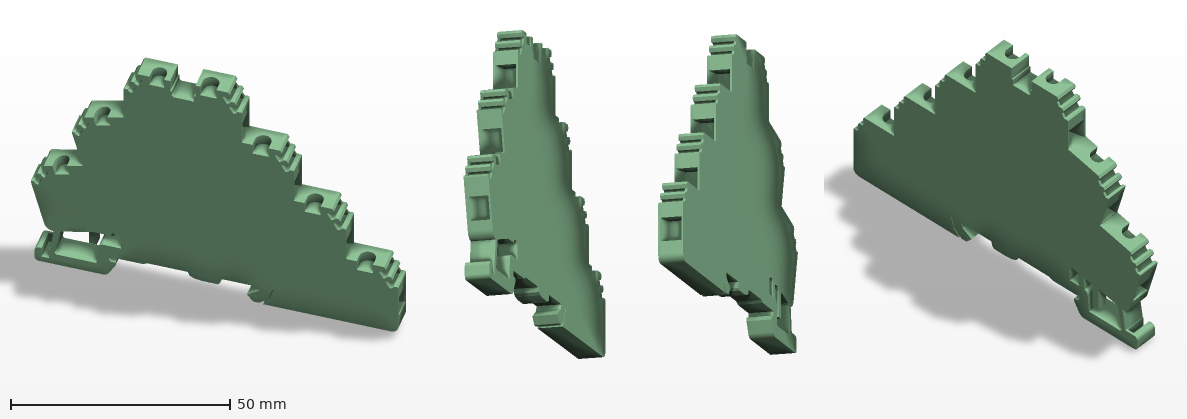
import cadquery as cq
import math


length = 87.8
height = 64.1
thickness = 6.0
back_web = 0.6

right_levels = 4
step_run = 12.5
step_rise = 14.5

tilt = 15.0
slope = math.tan(math.radians(tilt))
left_turret_drop = 0.3
left_step_rise = 17.65
left_terrace_run = 9.3
lowest_land = 0.4

comb_notches = 2
comb_angle = 60.0
comb_pitch = 3.1
comb_dx = comb_pitch * math.cos(math.radians(comb_angle))
comb_dz = comb_pitch * math.sin(math.radians(comb_angle))
comb_run = comb_notches * comb_dx
comb_drop = comb_notches * comb_dz
comb_inset = 0.3
tooth_shape = [(0, 0), (0.4, -0.7), (-0.04, -1.7), (0.57, -2.7)]
slot_length = 2.1
slot_width = 1.1
slot_corner = 0.3
slot_out = -0.22
slot_down = 2.4

right_screw_radius = 1.9
left_screw_radius = 1.8
screw_centre_y = 2.0
right_screw_depth = 2.6
left_screw_depth = 2.5
screw_from_wall = 8.0
screw_from_corner = 5.7

entry_height = 5.5
entry_depth = 3.9
entry_lift = 0.2
lowest_entry_z = 14.05
entry_mouth = (0.4, 5.5)
entry_floor = (1.4, 4.4)

gap_left = 33.3
gap_right = 39.35
gap_floor = 59.1
gap_step_z = 60.8
gap_step = 0.35
gap_corner = 0.4

rail_z = 6.3
base_z = 1.3
base_corner = 1.8
slit_mouth_x = 55.5
foot_z = 4.1
foot_x = 0.9
foot_corner = 1.05
toe_start = (17.2, 0)
toe_bulge = (18.1, 0.3)
arm_bottom = (4.6, foot_z)
arm_top = (5.45, 10.0)
wall_foot_z = 11.95
wall_foot_bulge = (3.95, 10.6)

window_floor = 3.1
window_shelf = 9.1
window_ceiling = 12.4
window_right = 21.6
window_top_corner = 0.9
window_notch_width = 2.55
shelf_corner = 1.3
shelf_edge_x = 16.1
finger_x = (12.8, 14.7)
finger_bottom = 5.45
finger_flare_z = 11.7
tie_width = 1.7
tie_foot_x = 17.0
tie_lean = 0.35
web_thickness = 2.5
web_bury = 0.2
web_sink = 0.35

foot_recess_x = (2.55, 4.4)
foot_recess_floor = 1.5

right_walls = [length - step_run * (right_levels - 1 - i) for i in range(right_levels)]
right_tops = [height - step_rise * i for i in range(right_levels)]
upper_corner_z = right_tops[1]
lower_corner_z = upper_corner_z - left_step_rise
terrace_drop = left_terrace_run * slope
left_wall_drop = left_step_rise - terrace_drop - comb_drop
lower_corner_x = comb_run + left_terrace_run
upper_corner_x = 2 * lower_corner_x - left_wall_drop * slope
left_corners = [(upper_corner_x, upper_corner_z), (lower_corner_x, lower_corner_z)]
left_turret_z = height - left_turret_drop

right_combs = [(x - comb_inset - comb_run, z) for x, z in zip(right_walls, right_tops)]
left_combs = [(upper_corner_x + comb_inset + comb_run, left_turret_z)]
left_combs += [(x - left_terrace_run, z - terrace_drop) for x, z in left_corners]

left_wall_tops = [(x - comb_run, z - comb_drop) for x, z in left_combs[1:]]
left_wall_tops[1] = (left_wall_tops[1][0], left_wall_tops[1][1] - lowest_land)


def comb_points(x, z, side):
    """Tooth outline from the terrace down to the lowest tooth; side is +1 for right, -1 for left."""
    points = []
    for i in range(comb_notches):
        for out, up in tooth_shape:
            points.append((x + side * (i * comb_dx + out), z - i * comb_dz + up))
    points.append((x + side * comb_run, z - comb_drop))
    return points


def extrude_xz(sketch, y_start=0.0, y_end=thickness):
    """Extrude an X-Z outline through the given Y range."""
    return sketch.extrude(-(y_end - y_start)).translate((0, y_start, 0))


def right_outline():
    """Top of the right turret down to the last wall."""
    points = []
    for i, (x, z) in enumerate(right_combs):
        if i > 0:
            points.append((right_walls[i - 1], z))
        points += comb_points(x, z, 1)
        points.append((right_walls[i], z - comb_drop - comb_inset))
    return points


def left_outline():
    """Lowest left wall up to the left turret."""
    points = [left_wall_tops[1]] + comb_points(*left_combs[2], -1)[::-1] + [left_corners[1]]
    points += comb_points(*left_combs[1], -1)[::-1] + [left_corners[0]]
    points.append((upper_corner_x, left_turret_z - comb_drop - comb_inset))
    return points + comb_points(*left_combs[0], -1)[::-1]


def make_plate():
    gap = [
        (gap_left, left_turret_z),
        (gap_left, gap_step_z),
        (gap_left + gap_step, gap_step_z),
        (gap_left + gap_step, gap_floor + gap_corner),
        (gap_left + gap_step + gap_corner, gap_floor),
        (gap_right - gap_step, gap_floor),
        (gap_right - gap_step, gap_step_z),
        (gap_right, gap_step_z),
        (gap_right, height),
    ]
    hook_and_seat = [
        (57.0, 3.25),
        (58.0, rail_z),
        (57.7, rail_z),
        (56.75, 3.3),
        (54.6, 1.5),
        (53.1, 1.5),
        (51.65, 3.25),
        (54.5, 5.1),
        (54.7, rail_z),
        (45.6, rail_z),
        (45.2, 5.0),
        (44.7, 4.5),
        (40.9, 4.5),
        (39.0, 4.7),
        (37.95, 5.3),
        (37.5, rail_z),
        (27.9, rail_z),
        (26.8, 5.8),
        (18.6, 5.8),
        (18.6, 4.9),
        (19.2, 4.4),
        (20.2, 4.4),
        (20.2, 3.5),
        (18.7, 0.9),
    ]
    wall_foot_x = slope * (left_wall_tops[1][1] - wall_foot_z)
    outline = (
        cq.Workplane("XZ")
        .polyline(left_outline() + gap + right_outline())
        .lineTo(length, base_z + base_corner)
        .radiusArc((length - base_corner, base_z), base_corner)
        .lineTo(slit_mouth_x, base_z)
    )
    for point in hook_and_seat:
        outline = outline.lineTo(*point)
    outline = (
        outline.threePointArc(toe_bulge, toe_start)
        .lineTo(foot_x + foot_corner, 0)
        .radiusArc((foot_x, foot_corner), foot_corner)
        .lineTo(foot_x, foot_z - foot_corner)
        .radiusArc((foot_x + foot_corner, foot_z), foot_corner)
        .lineTo(*arm_bottom)
        .lineTo(*arm_top)
        .threePointArc(wall_foot_bulge, (wall_foot_x, wall_foot_z))
        .close()
    )
    return extrude_xz(outline)


def make_latch_window():
    notch_top = window_ceiling + window_top_corner
    notch_left = window_right - window_notch_width
    window = (
        cq.Workplane("XZ")
        .moveTo(6.15, window_floor)
        .lineTo(15.7, window_floor)
        .lineTo(shelf_edge_x, window_shelf - shelf_corner)
        .radiusArc((shelf_edge_x + shelf_corner, window_shelf), shelf_corner)
        .lineTo(window_right, window_shelf)
        .lineTo(window_right, window_ceiling)
        .radiusArc((window_right - window_top_corner, notch_top), -window_top_corner)
        .lineTo(notch_left + window_top_corner, notch_top)
        .radiusArc((notch_left, window_ceiling), -window_top_corner)
        .lineTo(14.85, window_ceiling)
        .lineTo(7.3, 10.45)
        .lineTo(6.85, 10.0)
        .lineTo(5.7, 3.5)
        .close()
    )
    return extrude_xz(window)


def make_window_webs():
    """Finger hanging in the window and a leaning tie across its narrow end, both at the back."""
    finger_left, finger_right = finger_x
    web_top = window_ceiling + web_bury
    web_foot = window_shelf - web_sink
    finger = [
        (12.5, web_top),
        (12.5, finger_flare_z),
        (finger_left, 11.0),
        (finger_left, finger_bottom),
        (finger_right, finger_bottom),
        (finger_right, finger_flare_z),
        (15.3, web_top),
    ]
    tie = [
        (tie_foot_x, web_foot),
        (tie_foot_x + tie_width, web_foot),
        (tie_foot_x + tie_width + tie_lean, web_top),
        (tie_foot_x + tie_lean, web_top),
    ]
    webs = cq.Workplane("XZ").polyline(finger).close().polyline(tie).close()
    return extrude_xz(webs, thickness - web_thickness, thickness)


def make_comb_slots():
    """Blind slots widening the bottom of every comb notch from the front face."""
    slot = cq.Sketch().rect(slot_length, slot_width).vertices().fillet(slot_corner)
    combs = [(x, z, 1) for x, z in right_combs] + [(x, z, -1) for x, z in left_combs]
    turned_slots = []
    for x, z, side in combs:
        for i in range(comb_notches):
            centre_x = x + side * (i * comb_dx + slot_out)
            centre_z = z - i * comb_dz - slot_down
            turn = cq.Location(cq.Vector(centre_x, centre_z), cq.Vector(0, 0, 1), -side * comb_angle)
            turned_slots.append(slot.moved(turn))
    return extrude_xz(cq.Workplane("XZ").placeSketch(*turned_slots), 0, thickness - back_web)


def make_screw_hole(x, z, radius, depth, angle=0.0):
    """U-shaped hole sunk from a terrace at (x, z); angle leans it with the terrace."""
    lean = math.radians(angle)
    plane = cq.Plane(
        origin=(x, 0, z),
        xDir=(math.cos(lean), 0, math.sin(lean)),
        normal=(-math.sin(lean), 0, math.cos(lean)),
    )
    return (
        cq.Workplane(plane)
        .moveTo(-radius, 0)
        .lineTo(-radius, screw_centre_y)
        .threePointArc((0, screw_centre_y + radius), (radius, screw_centre_y))
        .lineTo(radius, 0)
        .close()
        .extrude(-depth)
    )


def make_wire_entry(x, z, inward, angle=0.0):
    """Tapered pocket with its lower mouth edge at (x, z); inward is the X sense of its depth."""
    lean = math.radians(angle)
    plane = cq.Plane(
        origin=(x, 0, z),
        xDir=(0, -inward, 0),
        normal=(-inward * math.cos(lean), 0, -inward * math.sin(lean)),
    )
    mouth_centre = -inward * sum(entry_mouth) / 2
    floor_centre = -inward * sum(entry_floor) / 2
    return (
        cq.Workplane(plane)
        .center(mouth_centre, entry_height / 2)
        .rect(entry_mouth[1] - entry_mouth[0], entry_height)
        .workplane(offset=-entry_depth)
        .center(floor_centre - mouth_centre, 0)
        .rect(entry_floor[1] - entry_floor[0], entry_height)
        .loft()
    )


def make_foot_recess():
    x_start, x_end = foot_recess_x
    recess = (
        cq.Workplane("XZ")
        .moveTo(x_start, foot_recess_floor)
        .lineTo(x_end, foot_recess_floor)
        .lineTo(x_end, foot_z)
        .lineTo(x_start, foot_z)
        .close()
    )
    return extrude_xz(recess, 0, thickness - back_web)


plate = make_plate().cut(make_latch_window()).union(make_window_webs())
plate = plate.cut(make_comb_slots()).cut(make_foot_recess())

for wall_x, top_z in zip(right_walls, right_tops):
    plate = plate.cut(make_screw_hole(wall_x - screw_from_wall, top_z, right_screw_radius, right_screw_depth))
    plate = plate.cut(make_wire_entry(wall_x, top_z - step_rise, -1))

turret_hole_x = upper_corner_x + screw_from_wall
plate = plate.cut(make_screw_hole(turret_hole_x, left_turret_z, left_screw_radius, left_screw_depth))
plate = plate.cut(make_wire_entry(upper_corner_x, upper_corner_z, 1))

leaning_entries_z = [lower_corner_z + entry_lift, lowest_entry_z]
for i, (corner_x, corner_z) in enumerate(left_corners):
    hole_x = corner_x - screw_from_corner * math.cos(math.radians(tilt))
    hole_z = corner_z - screw_from_corner * math.sin(math.radians(tilt))
    plate = plate.cut(make_screw_hole(hole_x, hole_z, left_screw_radius, left_screw_depth, tilt))
    entry_z = leaning_entries_z[i]
    wall_top_x, wall_top_z = left_wall_tops[i]
    entry_x = wall_top_x + (wall_top_z - entry_z) * slope
    plate = plate.cut(make_wire_entry(entry_x, entry_z, 1, tilt))

result = plate